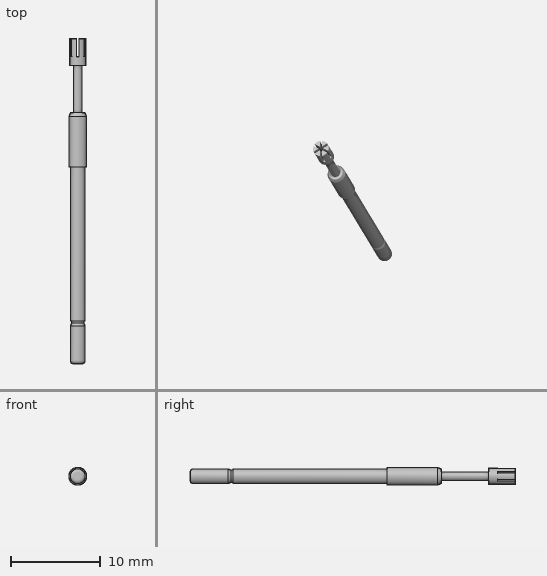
import cadquery as cq
import math

TOTAL_LENGTH = 36.3

HEAD_DIAMETER = 1.8
HEAD_LENGTH = 3.0
CROSS_SLOT_COUNT = 3
SLOT_WIDTH = 0.25
SLOT_LENGTH = 2.0

SHAFT_DIAMETER = 1.0
SHAFT_LENGTH = 5.25

COLLAR_DIAMETER = 2.0
COLLAR_LENGTH = 6.05
COLLAR_TAPER_LENGTH = 0.45
COLLAR_NOSE_DIAMETER = 1.62

BARREL_DIAMETER = 1.66
GROOVE_START = 31.5
GROOVE_FLOOR_LENGTH = 0.25
GROOVE_RAMP_LENGTH = 0.3
GROOVE_DEPTH = 0.12
TAIL_RADIUS = 0.37

head_radius = HEAD_DIAMETER / 2
shaft_radius = SHAFT_DIAMETER / 2
collar_radius = COLLAR_DIAMETER / 2
barrel_radius = BARREL_DIAMETER / 2
groove_radius = barrel_radius - GROOVE_DEPTH

collar_start = HEAD_LENGTH + SHAFT_LENGTH
collar_end = collar_start + COLLAR_LENGTH
groove_floor_end = GROOVE_START + GROOVE_FLOOR_LENGTH
groove_end = groove_floor_end + GROOVE_RAMP_LENGTH


def turned_body():
    """Half outline in the XY plane (X = radius), revolved about the Y axis."""
    tail_inset = TAIL_RADIUS * (1 - math.cos(math.pi / 4))
    return (
        cq.Workplane("XY")
        .moveTo(0, 0)
        .lineTo(head_radius, 0)
        .lineTo(head_radius, -HEAD_LENGTH)
        .lineTo(shaft_radius, -HEAD_LENGTH)
        .lineTo(shaft_radius, -collar_start)
        .lineTo(COLLAR_NOSE_DIAMETER / 2, -collar_start)
        .lineTo(collar_radius, -(collar_start + COLLAR_TAPER_LENGTH))
        .lineTo(collar_radius, -collar_end)
        .lineTo(barrel_radius, -collar_end)
        .lineTo(barrel_radius, -GROOVE_START)
        .lineTo(groove_radius, -GROOVE_START)
        .lineTo(groove_radius, -groove_floor_end)
        .lineTo(barrel_radius, -groove_end)
        .lineTo(barrel_radius, -(TOTAL_LENGTH - TAIL_RADIUS))
        .threePointArc(
            (barrel_radius - tail_inset, -(TOTAL_LENGTH - tail_inset)),
            (barrel_radius - TAIL_RADIUS, -TOTAL_LENGTH),
        )
        .lineTo(0, -TOTAL_LENGTH)
        .close()
        .revolve(360, (0, 0, 0), (0, 1, 0))
    )


def cut_crown(body):
    """Split the head into equal fingers with full-width slots crossing on the axis."""
    slot = (
        cq.Workplane("XY")
        .box(SLOT_WIDTH, SLOT_LENGTH, COLLAR_DIAMETER, centered=(True, False, True))
        .translate((0, -SLOT_LENGTH, 0))
    )
    for index in range(CROSS_SLOT_COUNT):
        angle = index * 180 / CROSS_SLOT_COUNT
        body = body.cut(slot.rotate((0, 0, 0), (0, 1, 0), angle))
    return body


result = cut_crown(turned_body())